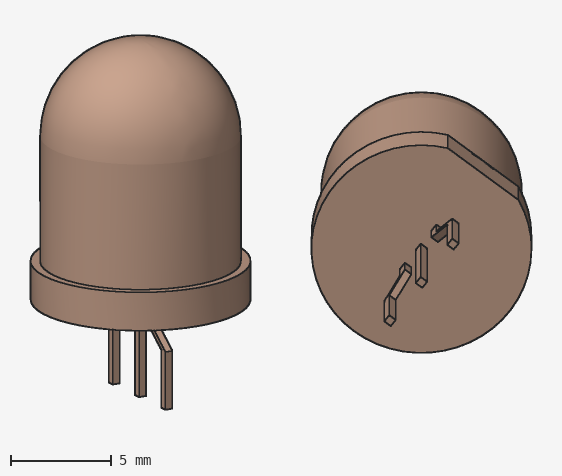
import cadquery as cq

total_height = 18.5

lens_diameter = 10.0
lens_radius = lens_diameter / 2
cylinder_height = 6.5

flange_diameter = 10.95
flange_height = 2.0
flat_x = -lens_radius

pin_width = 0.4
pin_length = total_height - flange_height - cylinder_height - lens_radius
pin_pitch_top = 1.28
pin_pitch_bottom = 2 * pin_pitch_top
bend_start = 1.0
bend_end = 2 * bend_start


def make_lens():
    """Lens resting on the flange, revolved about Z."""
    base_z = flange_height
    dome_z = base_z + cylinder_height
    dome = cq.Workplane("XY").sphere(lens_radius).translate((0, 0, dome_z))
    cylinder = cq.Workplane("XY").workplane(offset=base_z).circle(lens_radius).extrude(cylinder_height)
    return cylinder.union(dome)


def make_flange():
    """Round flange, trimmed to a flat at flat_x."""
    disc = cq.Workplane("XY").circle(flange_diameter / 2).extrude(flange_height)
    keep = (
        cq.Workplane("XY")
        .box(flange_diameter, flange_diameter, flange_height, centered=(False, True, False))
        .translate((flat_x, 0, 0))
    )
    return disc.intersect(keep)


def make_pin(top_x, bottom_x):
    """Pin centred on top_x at the flange and on bottom_x at its tip."""
    half = pin_width / 2
    outline = cq.Workplane("XZ").moveTo(top_x - half, 0)
    if top_x != bottom_x:
        outline = outline.lineTo(top_x - half, -bend_start).lineTo(bottom_x - half, -bend_end)
    outline = outline.lineTo(bottom_x - half, -pin_length).lineTo(bottom_x + half, -pin_length)
    if top_x != bottom_x:
        outline = outline.lineTo(bottom_x + half, -bend_end).lineTo(top_x + half, -bend_start)
    return outline.lineTo(top_x + half, 0).close().extrude(half, both=True)


result = make_flange().union(make_lens())
for side in (-1, 0, 1):
    result = result.union(make_pin(side * pin_pitch_top, side * pin_pitch_bottom))